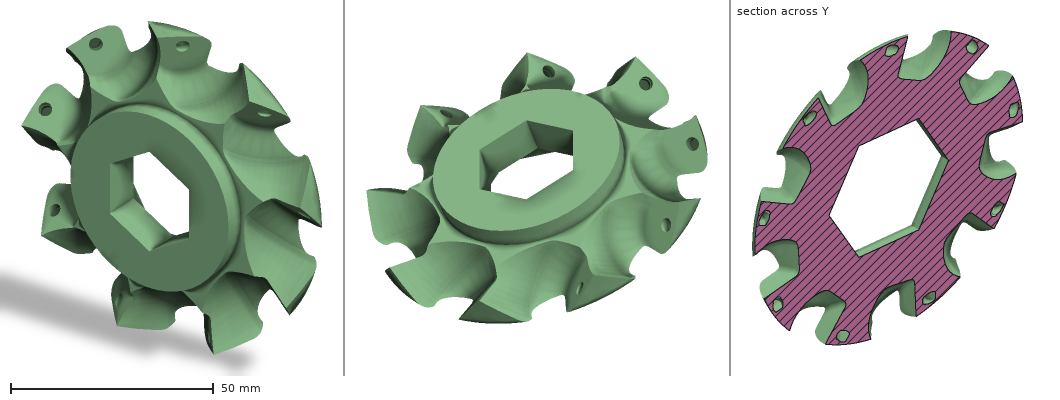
import cadquery as cq
import math

OUTER_RADIUS = 43.0
DISC_WIDTH = 10.0
BACK_CORNER_RADIUS = 3.0
HUB_RADIUS = 24.0
HUB_LENGTH = 5.1

BORE_ACROSS_FLATS = 24.0
BORE_TURN = 30.0
POCKET_ACROSS_FLATS = 33.0
POCKET_DEPTH = 5.0

TOOTH_COUNT = 9
TOOTH_PITCH = 360 / TOOTH_COUNT
FIRST_TOOTH_ANGLE = 92.0
SEAM_TURN = 26.0

SEAT_RADIAL_DISTANCE = 39.7
SEAT_SIDE_OFFSET = 4.3
SEAT_DEPTH = 4.9
SEAT_HELIX_ANGLE = 46.8
SEAT_RAKE_ANGLE = 13.6
FLOOR_SEAT_RADIUS = 8.6
FLANK_RADIUS = 13.9
FLOOR_CONE_ANGLE = 38.0
GULLET_LENGTH = 27.5
SEAT_FILLET = 2.0
FLANK_FILLET = 2.9

SCREW_DIAMETER = 3.4
SCREW_DEPTH = 2.2
PILOT_DIAMETER = 3.0
PILOT_DEPTH = 4.5

DISC_FRONT = HUB_LENGTH
DISC_BACK = DISC_FRONT + DISC_WIDTH


def cylinder_along_y(radius, start, length):
    return cq.Workplane("XZ", origin=(0, start, 0)).circle(radius).extrude(-length)


def hexagon_prism(across_flats, start, length):
    """Prism along Y with two corners on the X axis."""
    corner_diameter = across_flats / math.cos(math.pi / 6)
    return cq.Workplane("XZ", origin=(0, start, 0)).polygon(6, corner_diameter).extrude(-length)


def seat_plane():
    """Plane on the seat face of a tooth pointing along +Z, facing into the gullet."""
    rake = math.radians(SEAT_RAKE_ANGLE)
    helix = math.radians(SEAT_HELIX_ANGLE)
    normal = cq.Vector(
        math.cos(rake) * math.cos(helix),
        -math.cos(rake) * math.sin(helix),
        -math.sin(rake),
    )
    along = cq.Vector(math.sin(helix), math.cos(helix), 0)
    center = (SEAT_SIDE_OFFSET, DISC_FRONT + SEAT_DEPTH, SEAT_RADIAL_DISTANCE)
    return cq.Plane(origin=center, xDir=along, normal=normal)


def gullet():
    """Flat seat, conical floor and cylindrical flank, blended by fillets."""
    cone_length = (FLANK_RADIUS - FLOOR_SEAT_RADIUS) / math.tan(math.radians(FLOOR_CONE_ANGLE))
    body = (
        cq.Workplane("XY")
        .lineTo(FLOOR_SEAT_RADIUS, 0)
        .lineTo(FLANK_RADIUS, cone_length)
        .lineTo(FLANK_RADIUS, GULLET_LENGTH)
        .lineTo(0, GULLET_LENGTH)
        .close()
        .revolve(360, (0, 0, 0), (0, 1, 0))
    )
    body = body.edges(cq.selectors.RadiusNthSelector(-1)).fillet(FLANK_FILLET)
    body = body.faces("<Y").edges().fillet(SEAT_FILLET)
    body = body.rotate((0, 0, 0), (1, 0, 0), 90)
    return body.val().moved(cq.Location(seat_plane()))


def screw_hole():
    """Screw clearance with a narrower pilot below it, square to the seat."""
    wide = cq.Workplane(seat_plane()).circle(SCREW_DIAMETER / 2).extrude(-SCREW_DEPTH)
    pilot = cq.Workplane(seat_plane()).circle(PILOT_DIAMETER / 2).extrude(-PILOT_DEPTH)
    return wide.union(pilot).val()


def around_teeth(tool):
    """Copies of a tool modelled at a +Z tooth, one for each tooth."""
    first_turn = 90 - FIRST_TOOTH_ANGLE
    return [
        tool.rotate(cq.Vector(0, 0, 0), cq.Vector(0, 1, 0), first_turn + i * TOOTH_PITCH)
        for i in range(TOOTH_COUNT)
    ]


disc = cylinder_along_y(OUTER_RADIUS, DISC_FRONT, DISC_WIDTH)
disc = disc.edges(">Y").fillet(BACK_CORNER_RADIUS)
disc = disc.rotate((0, 0, 0), (0, 1, 0), SEAM_TURN)
for tool in around_teeth(gullet()) + around_teeth(screw_hole()):
    disc = disc.cut(cq.Workplane(tool))

hub = cylinder_along_y(HUB_RADIUS, 0, HUB_LENGTH)
bore = hexagon_prism(BORE_ACROSS_FLATS, 0, DISC_BACK).rotate((0, 0, 0), (0, 1, 0), BORE_TURN)
pocket = hexagon_prism(POCKET_ACROSS_FLATS, DISC_BACK - POCKET_DEPTH, POCKET_DEPTH)
result = disc.union(hub).cut(bore).cut(pocket)